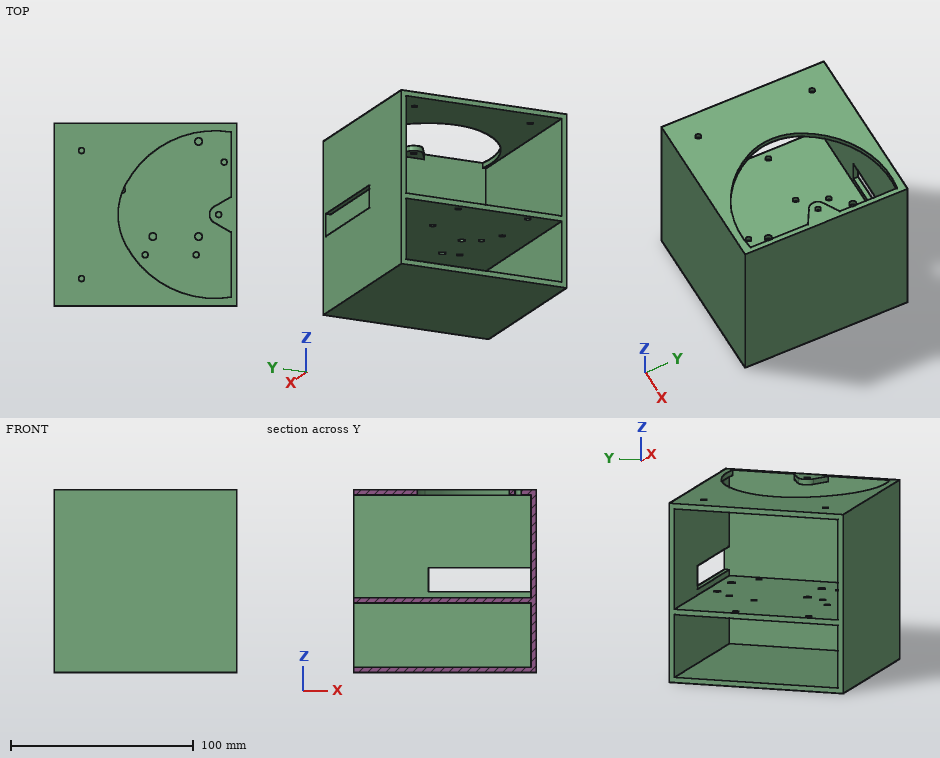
import cadquery as cq
import math

side = 100.0
wall = 3.0
half = side / 2
inner = half - wall
shelf_bottom = 38.0
shelf_top = shelf_bottom + wall
ceiling = side - wall

screw_diameter = 3.2
post_diameter = 4.0

nose_radius = 35.0
nose_x = 20.0
side_arc_x = 38.0
side_arc_y = 9.5

tab_x = 40.0
tab_radius = 5.0
tab_slope = math.radians(30)

window_left = -9.0
window_bottom = 44.3
window_height = 13.0

roof_holes = [(-35.0, -35.0), (-35.0, 35.0), (tab_x, 0.0)]
controller_holes = [(-0.2, -22.0), (27.7, -22.0), (43.0, 28.7), (-5.3, 30.0)]

driver_corner = (-45.2, -28.7)
driver_spacing = (32.5, 42.1)
post_corner = (4.0, -12.0)
post_spacing = (25.0, 52.0)


def box(x0, x1, y0, y1, z0, z1):
    """Box between the given limits."""
    return cq.Workplane("XY").box(x1 - x0, y1 - y0, z1 - z0, centered=False).translate((x0, y0, z0))


def rectangle_corners(corner, spacing):
    """Four corners of a rectangle given its lowest corner and its spacing along X and Y."""
    x0, y0 = corner
    length, width = spacing
    return [(x, y) for x in (x0, x0 + length) for y in (y0, y0 + width)]


def holes(points, diameter, bottom):
    """Drills through one plate whose underside is at the given height."""
    return cq.Workplane("XY").workplane(offset=bottom).pushPoints(points).circle(diameter / 2).extrude(wall)


def roof_opening():
    """Symmetric arc outline, closed by the rear wall."""
    center_distance = math.hypot(side_arc_x - nose_x, side_arc_y)
    side_radius = nose_radius + center_distance
    blend_angle = math.atan2(side_arc_y, side_arc_x - nose_x)
    blend_x = nose_x - nose_radius * math.cos(blend_angle)
    blend_y = nose_radius * math.sin(blend_angle)
    top_y = side_radius - side_arc_y
    end_y = math.sqrt(side_radius**2 - (inner - side_arc_x) ** 2) - side_arc_y
    return (
        cq.Workplane("XY").workplane(offset=ceiling)
        .moveTo(inner, -end_y)
        .lineTo(inner, end_y)
        .threePointArc((side_arc_x, top_y), (blend_x, blend_y))
        .threePointArc((nose_x - nose_radius, 0), (blend_x, -blend_y))
        .threePointArc((side_arc_x, -top_y), (inner, -end_y))
        .close()
        .extrude(wall)
    )


def hole_tab():
    """Tab with a round tip and straight flanks tangent to it."""
    tangent_x = tab_x - tab_radius * math.sin(tab_slope)
    tangent_y = tab_radius * math.cos(tab_slope)
    root_y = tangent_y + (inner - tangent_x) * math.tan(tab_slope)
    return (
        cq.Workplane("XY").workplane(offset=ceiling)
        .moveTo(inner, -root_y)
        .lineTo(tangent_x, -tangent_y)
        .threePointArc((tab_x - tab_radius, 0), (tangent_x, tangent_y))
        .lineTo(inner, root_y)
        .close()
        .extrude(wall)
    )


result = box(-half, half, -half, half, 0, side)
result = result.cut(box(-half, inner, -inner, inner, wall, shelf_bottom))
result = result.cut(box(-half, inner, -inner, inner, shelf_top, ceiling))

result = result.cut(roof_opening().cut(hole_tab()))
result = result.cut(holes(roof_holes, screw_diameter, ceiling))

driver_holes = rectangle_corners(driver_corner, driver_spacing)
post_holes = rectangle_corners(post_corner, post_spacing)
result = result.cut(holes(controller_holes + driver_holes, screw_diameter, shelf_bottom))
result = result.cut(holes(post_holes, post_diameter, shelf_bottom))

result = result.cut(box(window_left, inner, inner, half, window_bottom, window_bottom + window_height))